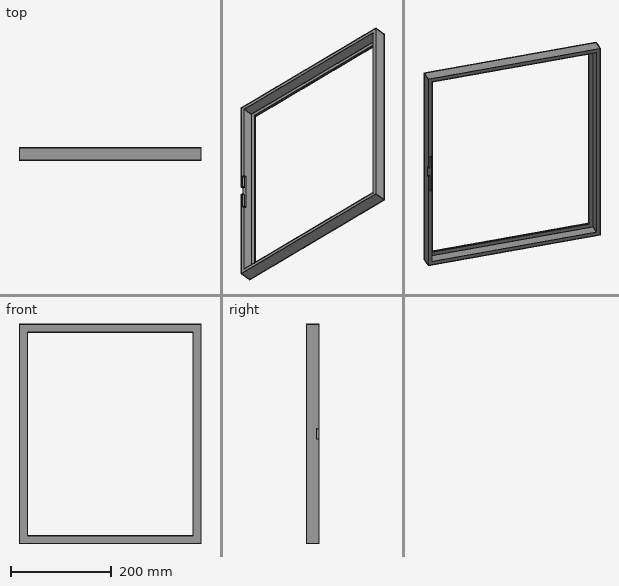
import cadquery as cq

width = 360.0
depth = 25.0
height = 435.0

lip_width = 16.0
lip_thickness = 4.0
wall_thickness = 8.0

recess_length = 80.0
recess_into_wall = 4.0
recess_rear_depth = 4.75
recess_centre_z = -4.25

slot_length = 20.0
slot_centre_z = 0.0


def block(size_x, size_y, size_z, centre_x, front_y, centre_z):
    """Box centred on X and Z, reaching back from front_y."""
    centre = (centre_x, front_y + size_y / 2, centre_z)
    return cq.Workplane("XY").box(size_x, size_y, size_z).translate(centre)


def frame():
    """Rectangular frame whose opening widens behind the front lip."""
    outside = block(width, depth, height, 0, 0, 0)
    opening = block(width - 2 * lip_width, depth, height - 2 * lip_width, 0, 0, 0)
    rebate = block(
        width - 2 * wall_thickness,
        depth - lip_thickness,
        height - 2 * wall_thickness,
        0,
        lip_thickness,
        0,
    )
    return outside.cut(opening).cut(rebate)


def rear_notch(into_wall, length, centre_z):
    """Cutter running from the inner face of the +X wall outward, open at the rear."""
    inner_face_x = width / 2 - wall_thickness
    return block(
        into_wall,
        recess_rear_depth,
        length,
        inner_face_x + into_wall / 2,
        depth - recess_rear_depth,
        centre_z,
    )


recess = rear_notch(recess_into_wall, recess_length, recess_centre_z)
slot = rear_notch(wall_thickness, slot_length, slot_centre_z)
result = frame().cut(recess).cut(slot)